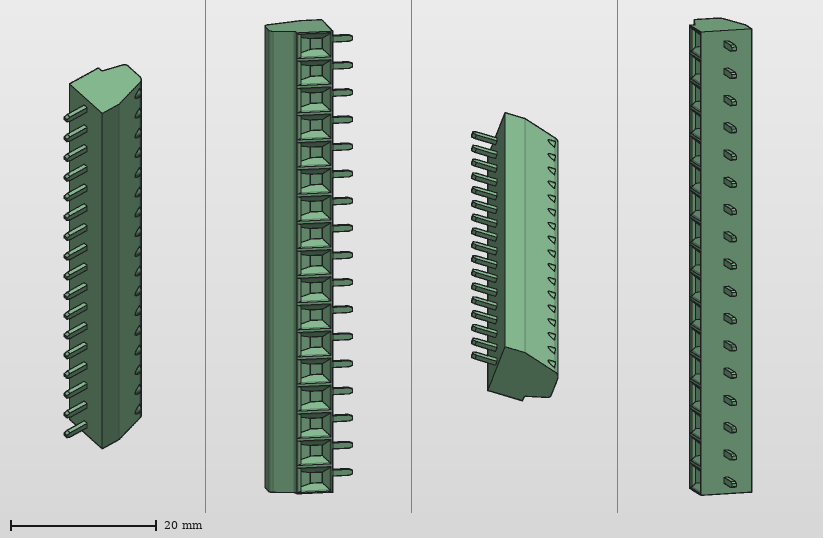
import cadquery as cq

length = 64.8
width = 7.3
body_depth = 8.5
pole_count = 17
pitch = length / pole_count
half_width = width / 2

ledge_y = 5.05
ledge_width = 0.8
ledge_root_radius = 0.25
shoulder_y = 2.9
crest_left = -1.95
crest_right = 1.9
crest_left_radius = 0.6
crest_right_radius = 1.0

mouth = (0.25, 4.85, 3.45)
throat = (0.4, 4.4, 3.1)
wire_floor = (1.2, 2.9, 1.5)
rim_depth = 0.1
step_depth = 0.5
funnel_depth = 0.9
floor_recess = 0.2

pin_width = 0.65
pin_height = 0.85
pin_length = 3.5
pin_root_depth = 0.65
pin_tip_length = 0.5
pin_tip_inset = 0.2

screw_radius = 1.15
screw_reach = 2.45
screw_top = 7.7
screw_length = 2.6


def make_housing():
    """Prism along Z with rounded crest corners and a rounded ledge root."""
    ledge_root = (-half_width + ledge_width, ledge_y)
    crest_left_corner = (crest_left, body_depth)
    crest_right_corner = (crest_right, body_depth)
    outline = [
        (-half_width, 0),
        (half_width, 0),
        (half_width, shoulder_y),
        crest_right_corner,
        crest_left_corner,
        ledge_root,
        (-half_width, ledge_y),
    ]
    housing = cq.Workplane("XY").polyline(outline).close().extrude(length)
    rounded_corners = [
        (crest_right_corner, crest_right_radius),
        (crest_left_corner, crest_left_radius),
        (ledge_root, ledge_root_radius),
    ]
    for (x, y), radius in rounded_corners:
        corner = cq.NearestToPointSelector((x, y, length / 2))
        housing = housing.edges("|Z").edges(corner).fillet(radius)
    return housing


def taper(start, end, start_depth, end_depth):
    """Solid between two rectangular sections at two depths behind the -X face."""
    start_y = (start[0] + start[1]) / 2
    end_y = (end[0] + end[1]) / 2
    return (
        cq.Workplane("YZ", origin=(-half_width + start_depth, start_y, 0))
        .rect(start[1] - start[0], start[2])
        .workplane(offset=end_depth - start_depth)
        .center(end_y - start_y, 0)
        .rect(end[1] - end[0], end[2])
        .loft(ruled=True)
    )


def make_wire_entry():
    """Flared rim, then a funnel with a step on its +Y side, then a recessed floor; centred on Z = 0."""
    floor_depth = rim_depth + funnel_depth
    rim = taper(mouth, throat, 0, rim_depth)

    full_floor = (wire_floor[0], throat[1], wire_floor[2])
    funnel = taper(throat, full_floor, rim_depth, floor_depth)
    face_x = -half_width
    under_slope = [
        (face_x, 0),
        (face_x, throat[1]),
        (face_x + rim_depth + step_depth, throat[1]),
        (face_x + floor_depth, wire_floor[1]),
        (face_x + floor_depth, 0),
    ]
    slope_limit = cq.Workplane("XY").polyline(under_slope).close()
    funnel = funnel.intersect(slope_limit.extrude(pitch / 2, both=True))

    recess = taper(wire_floor, wire_floor, floor_depth, floor_depth + floor_recess)
    return rim.union(funnel).union(recess)


def make_pin():
    """Rectangular pin along -Y, thinned along Z at its tip."""
    pin = cq.Workplane("XZ", origin=(0, pin_root_depth, 0)).rect(pin_width, pin_height)
    pin = pin.extrude(pin_length + pin_root_depth)
    tip_half = pin_height / 2 - pin_tip_inset
    tip_start = pin_tip_length - pin_length
    for side in (-1, 1):
        bevel = (
            cq.Workplane("YZ")
            .moveTo(tip_start, side * pin_height / 2)
            .lineTo(-pin_length, side * pin_height / 2)
            .lineTo(-pin_length, side * tip_half)
            .close()
            .extrude(pin_width, both=True)
        )
        pin = pin.cut(bevel)
    return pin


def make_screw():
    """Cylinder along Y that breaks out of the sloped side."""
    center_x = screw_reach - screw_radius
    screw = cq.Workplane("XZ", origin=(center_x, screw_top, 0)).circle(screw_radius)
    return screw.extrude(screw_length)


def at_every_pole(tool):
    """Copies of one pole's solid at every pole height."""
    heights = [(pole + 0.5) * pitch for pole in range(pole_count)]
    return [tool.val().translate(cq.Vector(0, 0, z)) for z in heights]


housing = make_housing().val()
housing = housing.cut(*at_every_pole(make_wire_entry()))
housing = housing.fuse(*at_every_pole(make_pin()), *at_every_pole(make_screw()))
result = cq.Workplane("XY").newObject(housing.Solids())